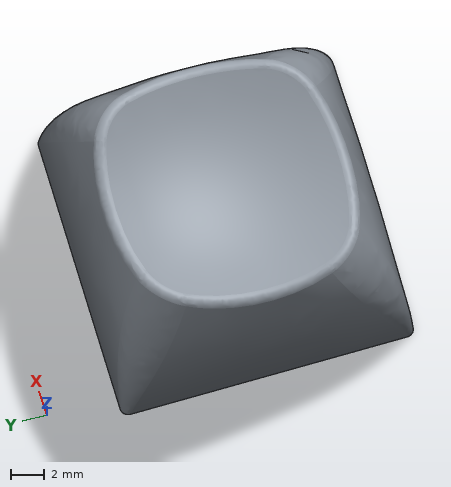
import cadquery as cq
import math

base_half = 9.14
base_join = 8.62
base_bulge = 0.004

loft_height = 12.05
side_inset = 2.7
inset_power = 2.9
join_inset = 5.05
join_power = 1.2
top_bulge = 0.73
bulge_power = 1.5
top_tilt = 7.0
section_count = 6

dish_radius = 16.8
dish_floor = 8.4
rim_fillet = 0.55


def rotate(point, angle):
    """Turn a point about the section centre."""
    x, y = point
    return (
        x * math.cos(angle) - y * math.sin(angle),
        x * math.sin(angle) + y * math.cos(angle),
    )


def section(level):
    """Rounded square with bowed sides at a fraction of the loft height."""
    half = base_half - side_inset * level**inset_power
    join = base_join - join_inset * level**join_power
    bulge = base_bulge + (top_bulge - base_bulge) * level**bulge_power
    edge = half - bulge

    side_end_angle = 2 * math.atan(bulge / join)
    corner_half_angle = math.pi / 4 - side_end_angle
    half_chord = (edge - join) / math.sqrt(2)
    corner_rise = half_chord * math.tan(corner_half_angle / 2)
    corner_mid = (edge + join) / 2 + corner_rise / math.sqrt(2)

    plane = cq.Plane((0, 0, loft_height * level)).rotated((top_tilt * level, 0, 0))
    outline = cq.Workplane(plane).moveTo(-join, -edge)
    for quarter in range(4):
        turn = quarter * math.pi / 2
        for middle, end in (
            ((0, -half), (join, -edge)),
            ((corner_mid, -corner_mid), (edge, -join)),
        ):
            outline = outline.threePointArc(rotate(middle, turn), rotate(end, turn))
    return outline.close().val()


levels = [i / (section_count - 1) for i in range(section_count)]
body = cq.Workplane(cq.Solid.makeLoft([section(level) for level in levels]))

tilt = math.radians(top_tilt)
dish_centre = (
    0,
    -dish_radius * math.sin(tilt),
    dish_floor + dish_radius * math.cos(tilt),
)
dish = cq.Workplane("XZ").sphere(dish_radius).translate(dish_centre)
dished = body.cut(dish)

result = dished.faces("%SPHERE").edges().fillet(rim_fillet)